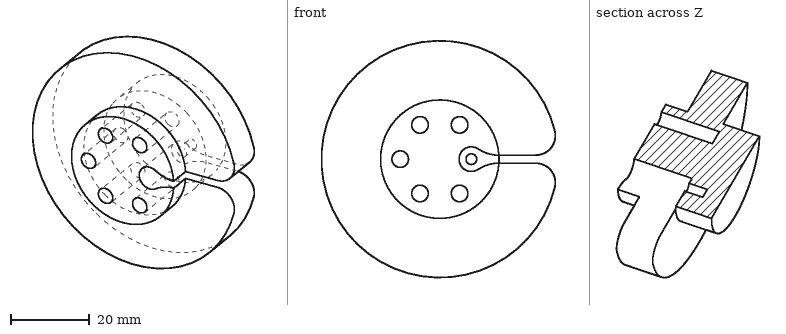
import cadquery as cq
import math

flange_radius = 30.0
hub_radius = flange_radius / 2
total_depth = 26.0
front_hub_depth = 6.0
flange_depth = 10.0
slot_depth = front_hub_depth + flange_depth
rear_hub_depth = total_depth - slot_depth

slot_half_width = 2.0 / 2
keyhole_x = 8.0
keyhole_radius = 3.1
mouth_radius = 5.0

pin_circle_radius = 10.0
pin_hole_diameter = 4.2
pin_hole_depth = slot_depth
pin_positions = 6
pilot_diameter = 2.7
pilot_depth = rear_hub_depth / 2


def disc(radius, depth, front_y):
    """Disc along Y, extending back from its front face."""
    return cq.Workplane("XZ", origin=(0, front_y, 0)).circle(radius).extrude(-depth)


def blind_hole(x, z, diameter, depth, front_y):
    return disc(diameter / 2, depth, front_y).translate((x, 0, z))


def keyhole_slot():
    """Round pocket flaring into a straight slot, cut through the front hub and flange."""
    neck_run = hub_radius - keyhole_x
    neck_radius = (neck_run**2 + slot_half_width**2 - keyhole_radius**2) / (
        2 * (keyhole_radius - slot_half_width)
    )
    neck_center_z = slot_half_width + neck_radius
    neck_angle = math.atan2(neck_center_z, neck_run)
    tangent_x = keyhole_x + keyhole_radius * math.cos(neck_angle)
    tangent_z = keyhole_radius * math.sin(neck_angle)
    middle_angle = (neck_angle + math.pi / 2) / 2
    middle_x = hub_radius - neck_radius * math.cos(middle_angle)
    middle_z = neck_center_z - neck_radius * math.sin(middle_angle)

    outline = (
        cq.Workplane("XZ")
        .moveTo(flange_radius, slot_half_width)
        .lineTo(hub_radius, slot_half_width)
        .threePointArc((middle_x, middle_z), (tangent_x, tangent_z))
        .threePointArc((keyhole_x - keyhole_radius, 0), (tangent_x, -tangent_z))
        .threePointArc((middle_x, -middle_z), (hub_radius, -slot_half_width))
        .lineTo(flange_radius, -slot_half_width)
        .close()
    )
    return outline.extrude(-slot_depth)


def mouth_corner(side):
    """Waste outside the rounding between the slot side and the flange rim."""
    center_z = slot_half_width + mouth_radius
    center_distance = flange_radius - mouth_radius
    center_x = math.sqrt(center_distance**2 - center_z**2)
    rim_angle = math.atan2(center_z, center_x)
    rim_x = flange_radius * math.cos(rim_angle)
    rim_z = flange_radius * math.sin(rim_angle)
    middle_angle = (rim_angle - math.pi / 2) / 2
    middle_x = center_x + mouth_radius * math.cos(middle_angle)
    middle_z = center_z + mouth_radius * math.sin(middle_angle)
    return (
        cq.Workplane("XZ", origin=(0, front_hub_depth, 0))
        .moveTo(center_x, side * slot_half_width)
        .threePointArc((middle_x, side * middle_z), (rim_x, side * rim_z))
        .lineTo(flange_radius, side * rim_z)
        .lineTo(flange_radius, side * slot_half_width)
        .close()
        .extrude(-flange_depth)
    )


result = disc(hub_radius, total_depth, 0)
result = result.union(disc(flange_radius, flange_depth, front_hub_depth))

result = result.cut(keyhole_slot())
for side in (1, -1):
    result = result.cut(mouth_corner(side))

for index in range(1, pin_positions):
    angle = 2 * math.pi * index / pin_positions
    pin_x = pin_circle_radius * math.cos(angle)
    pin_z = pin_circle_radius * math.sin(angle)
    result = result.cut(blind_hole(pin_x, pin_z, pin_hole_diameter, pin_hole_depth, 0))

result = result.cut(blind_hole(keyhole_x, 0, pilot_diameter, pilot_depth, slot_depth))